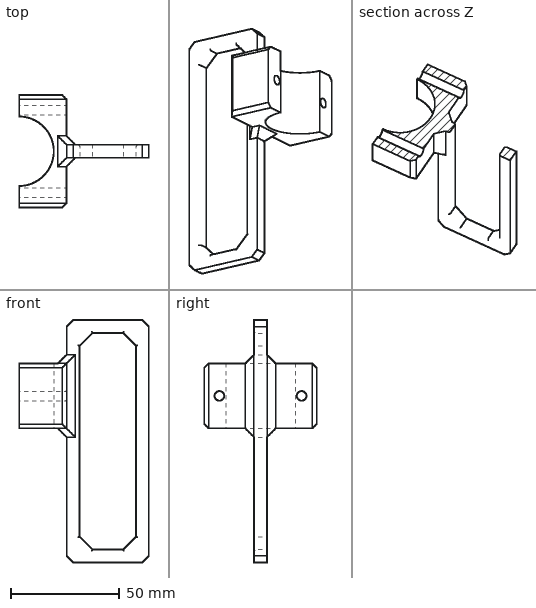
import cadquery as cq
import math

total_length = 60.0
frame_height = 112.0

clamp_depth = 22.0
clamp_width = 52.0
clamp_height = 30.0
clamp_chamfer = 2.0
bore_diameter = 32.0
screw_hole_diameter = 4.4
screw_hole_spacing = 38.0

frame_thickness = 6.0
frame_wall = 5.0
frame_corner_chamfer = 3.0
opening_corner_chamfer = 6.5
opening_edge_radius = 1.0
frame_top_above_clamp = 20.0

gusset_size = 4.0

frame_width = total_length - clamp_depth
frame_center_x = clamp_depth + frame_width / 2
frame_center_z = clamp_height / 2 + frame_top_above_clamp - frame_height / 2


def make_clamp():
    """Block with chamfered outer edges, a half-round bore and two screw holes."""
    block = (
        cq.Workplane("XY")
        .box(clamp_depth, clamp_width, clamp_height, centered=(False, True, True))
        .edges("|X or (|Z and >X)")
        .chamfer(clamp_chamfer)
    )
    bore = cq.Workplane("XY").circle(bore_diameter / 2).extrude(clamp_height, both=True)
    screw_holes = (
        cq.Workplane("YZ")
        .rarray(screw_hole_spacing, 1.1, 2, 1)
        .circle(screw_hole_diameter / 2)
        .extrude(clamp_depth)
    )
    return block.cut(bore).cut(screw_holes)


def chamfered_plate(width, height, corner_chamfer):
    """Frame-thick plate centred on the handle, with its four corners cut off."""
    return (
        cq.Workplane("XY")
        .box(width, frame_thickness, height)
        .edges("|Y")
        .chamfer(corner_chamfer)
        .translate((frame_center_x, 0, frame_center_z))
    )


def make_frame():
    """Handle plate with a long eight-sided opening, rounded at both faces."""
    plate = chamfered_plate(frame_width, frame_height, frame_corner_chamfer)
    narrowing = 2 * (frame_wall + opening_edge_radius)
    inner_corner_chamfer = opening_corner_chamfer - (2 - math.sqrt(2)) * opening_edge_radius
    opening = chamfered_plate(frame_width - narrowing, frame_height - narrowing, inner_corner_chamfer)
    reach_x = frame_width / 2 - frame_wall
    reach_z = frame_height / 2 - frame_wall
    rim_region = cq.selectors.BoxSelector(
        (frame_center_x - reach_x, -frame_thickness, frame_center_z - reach_z),
        (frame_center_x + reach_x, frame_thickness, frame_center_z + reach_z),
    )
    return plate.cut(opening).faces("<Y or >Y").edges(rim_region).fillet(opening_edge_radius)


def make_gusset():
    """45-degree collar that spreads the frame bar into the back, top and bottom of the clamp."""
    front_x = clamp_depth - gusset_size
    back_x = clamp_depth + gusset_size
    clamp_top = clamp_height / 2
    collar_top = clamp_top + gusset_size
    collar_width = frame_thickness + 2 * gusset_size
    side_profile = [
        (front_x, -clamp_top),
        (clamp_depth, -collar_top),
        (back_x, -collar_top),
        (back_x, collar_top),
        (clamp_depth, collar_top),
        (front_x, clamp_top),
    ]
    sloped_front = cq.Workplane("XZ").polyline(side_profile).close().extrude(collar_width / 2, both=True)
    sloped_sides = (
        cq.Workplane("XY")
        .box(back_x, collar_width, 2 * collar_top, centered=(False, True, True))
        .faces("<Y or >Y")
        .edges("<Z or >Z or >X")
        .chamfer(gusset_size)
    )
    return sloped_front.intersect(sloped_sides)


result = make_clamp().union(make_frame()).union(make_gusset())